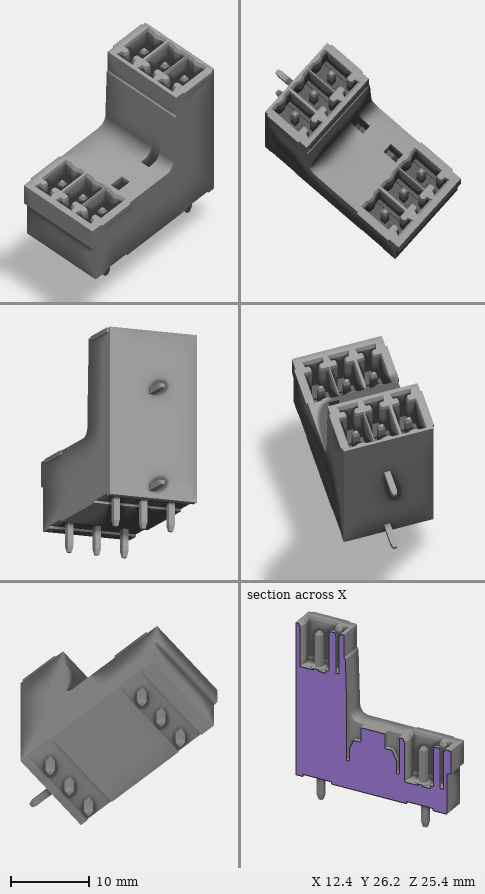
import cadquery as cq


width = 11.97
length = 22.72
height = 21.95
level_drop = 12.68
level_shift = 15.27
levels = ((0, height), (-level_shift, height - level_drop))

tower_depth = 7.07
lip_height = 3.3
lip_slope_height = 0.2
tower_lip_step = 0.18
tower_foot_depth = 7.55
foot_fillet_radius = 1.34
front_lip_step = 0.6

channels = ((1.07, 4.05), (16.25, 3.8))
channel_depth = 0.31

rib_thickness = 0.2
rib_height = 0.6
rib_length = 5.32
rib_setback = 0.52

pocket_centers = (-3.5, 0.1, 3.5)
pocket_width = 3.3
pocket_back = 0.35
shoulder_y = 4.95
neck_end_y = 5.75
pocket_front = 6.58
pocket_depth = 5.76
key_half_width = 0.75
key_height = 0.24
neck_half_width = 0.8
neck_waist = 0.6
tail_back_half_width = 1.2
tail_front_half_width = 1.41
lead_in_side = 0.13
lead_in_end = 0.31
lead_in_depth = 0.45

recess_width = 2.1
recess_front = 4.35
recess_depth = 0.4
collar_diameter = 2.05
collar_height = 0.2

contact_y = 2.9
contact_width = 0.85
contact_tip_width = 0.4
contact_tip_length = 0.45
contact_below_top = 0.97

solder_width = 0.79
solder_tip_width = 0.5
bottom_pin_pitch = 3.8
bottom_pin_depth = 0.9
bottom_pin_length = 3.4
bottom_tip_length = 0.79
solder_center_x = 0.2
back_pin_length = 3.48
back_pin_below_top = 7.95
back_tip_length = 0.58
pin_embedding = 0.4

slot_left = 2.07
slot_width = 1.4
slot_length = 2.07
slot_spacing = 5.6
slot_floor_depth = 5.25
slot_top_below_tower = 8.95
ledge_width = 0.97
ledge_depth = 2.1
ledge_slope_drop = 1.3
ledge_slope_length = 0.68


def make_housing():
    step_z = height - level_drop
    tower_slope_z = height - lip_height - lip_slope_height
    front_slope_z = step_z - lip_height - lip_slope_height
    profile = [
        (0, 0),
        (0, height),
        (-tower_depth, height),
        (-tower_depth, height - lip_height),
        (-tower_depth - tower_lip_step, tower_slope_z),
        (-tower_foot_depth, step_z),
        (-length, step_z),
        (-length, step_z - lip_height),
        (-length + front_lip_step, front_slope_z),
        (-length + front_lip_step, 0),
    ]
    body = cq.Workplane("YZ").polyline(profile).close().extrude(width / 2, both=True)
    foot_edge = cq.selectors.NearestToPointSelector((0, -tower_foot_depth, step_z))
    body = body.edges(foot_edge).fillet(foot_fillet_radius)
    for near_edge, channel_width in channels:
        channel = cq.Workplane().box(width, channel_width, channel_depth, centered=(True, False, False))
        body = body.cut(channel.translate((0, -near_edge - channel_width, 0)))
    return body


def make_ribs(back_y, top_z):
    ribs = cq.Workplane().box(
        width + 2 * rib_thickness, rib_length, rib_height, centered=(True, False, False)
    )
    return ribs.translate((0, back_y - rib_setback - rib_length, top_z - rib_height))


def pocket_outline(side_inset, end_inset, z):
    """Keyed pocket outline at height z: a rectangle with a bulge at the back and a dovetail in front.

    The side, shoulder and neck walls move inwards by side_inset, the back and front walls by end_inset.
    """
    half = pocket_width / 2 - side_inset
    back = -pocket_back - end_inset
    front = -pocket_front + end_inset
    shoulder = -shoulder_y + side_inset
    neck_end = -neck_end_y - side_inset
    neck_half = neck_half_width - side_inset
    waist = neck_waist - side_inset
    neck_middle = (shoulder + neck_end) / 2
    tail_back = tail_back_half_width - side_inset
    tail_front = tail_front_half_width - side_inset
    return (
        cq.Workplane(origin=(0, 0, z))
        .moveTo(-half, back)
        .lineTo(-key_half_width, back)
        .threePointArc((0, back - key_height), (key_half_width, back))
        .lineTo(half, back)
        .lineTo(half, shoulder)
        .lineTo(neck_half, shoulder)
        .threePointArc((waist, neck_middle), (neck_half, neck_end))
        .lineTo(tail_back, neck_end)
        .lineTo(tail_front, front)
        .lineTo(-tail_front, front)
        .lineTo(-tail_back, neck_end)
        .lineTo(-neck_half, neck_end)
        .threePointArc((-waist, neck_middle), (-neck_half, shoulder))
        .lineTo(-half, shoulder)
        .close()
    )


def make_pocket():
    """Cutter for one pocket, with its mouth at Z = 0 and its back edge measured from Y = 0."""
    mouth_rim = pocket_outline(0, 0, 0).val()
    well_outline = pocket_outline(lead_in_side, lead_in_end, -lead_in_depth)
    mouth = cq.Workplane(cq.Solid.makeLoft([mouth_rim, well_outline.val()], True))
    well = well_outline.extrude(lead_in_depth - pocket_depth)
    recess_back = pocket_back + lead_in_end
    recess_length = recess_front - recess_back
    recess = cq.Workplane().box(recess_width, recess_length, recess_depth, centered=(True, False, False))
    recess = recess.translate((0, -recess_front, -pocket_depth - recess_depth))
    return mouth.union(well).union(recess)


def make_pin(size_x, size_y, tip_width, pin_length, tip_length):
    """Pin standing on Z = 0 with a tapered tip at its upper end."""
    shank = cq.Workplane().rect(size_x, size_y).extrude(pin_length - tip_length)
    tip = (
        cq.Workplane()
        .workplane(offset=pin_length - tip_length)
        .rect(size_x, size_y)
        .workplane(offset=tip_length)
        .rect(tip_width, tip_width)
        .loft(ruled=True)
    )
    return shank.union(tip)


def make_contact():
    """Contact pin with its collar, standing on the recess floor, for a pocket mouth at Z = 0."""
    floor_z = -pocket_depth - recess_depth
    pin_length = -floor_z - contact_below_top
    pin = make_pin(contact_width, contact_width, contact_tip_width, pin_length, contact_tip_length)
    collar = cq.Workplane().circle(collar_diameter / 2).extrude(collar_height)
    return pin.union(collar).translate((0, -contact_y, floor_z))


def make_slot(inner_direction):
    """Latch slot centred on Y = 0 at Z = 0; a sloped ledge fills the end on its inner side."""
    top_z = level_drop - slot_top_below_tower
    cavity = cq.Workplane().box(
        slot_width, slot_length, slot_floor_depth + top_z, centered=(False, True, False)
    )
    cavity = cavity.translate((0, 0, -slot_floor_depth))
    inner = inner_direction * slot_length / 2
    slope_end = -inner_direction * ledge_slope_length
    ledge_profile = [
        (inner, -slot_floor_depth),
        (inner, -ledge_depth),
        (0, -ledge_depth),
        (slope_end, -ledge_depth - ledge_slope_drop),
        (slope_end, -slot_floor_depth),
    ]
    ledge = cq.Workplane("YZ").polyline(ledge_profile).close().extrude(ledge_width)
    return cavity.cut(ledge)


def make_bottom_pin():
    pin = make_pin(
        solder_width,
        bottom_pin_depth,
        solder_tip_width,
        bottom_pin_length + channel_depth + pin_embedding,
        bottom_tip_length,
    )
    return pin.rotate((0, 0, 0), (1, 0, 0), 180).translate((0, 0, channel_depth + pin_embedding))


def make_back_pin():
    pin = make_pin(
        solder_width, solder_width, solder_tip_width, back_pin_length + pin_embedding, back_tip_length
    )
    return pin.rotate((0, 0, 0), (1, 0, 0), -90).translate((0, -pin_embedding, 0))


result = make_housing()
pocket = make_pocket()
contact = make_contact()

for back_y, top_z in levels:
    result = result.union(make_ribs(back_y, top_z))
    for x in pocket_centers:
        result = result.cut(pocket.translate((x, back_y, top_z)))
        result = result.union(contact.translate((x, back_y, top_z)))
    for column in (-1, 0, 1):
        pin_x = solder_center_x + column * bottom_pin_pitch
        result = result.union(make_bottom_pin().translate((pin_x, back_y - contact_y, 0)))
    back_pin_z = top_z - back_pin_below_top
    result = result.union(make_back_pin().translate((solder_center_x, 0, back_pin_z)))

tower_lip_depth = tower_depth + tower_lip_step
lip_total_height = lip_height + lip_slope_height
slope_fraction = (slot_top_below_tower - lip_total_height) / (level_drop - lip_total_height)
slot_back = tower_lip_depth + slope_fraction * (tower_foot_depth - tower_lip_depth)
rear_slot_y = -slot_back - slot_length / 2
for slot_y, inner_direction in ((rear_slot_y, -1), (rear_slot_y - slot_spacing, 1)):
    slot = make_slot(inner_direction)
    result = result.cut(slot.translate((slot_left, slot_y, height - level_drop)))